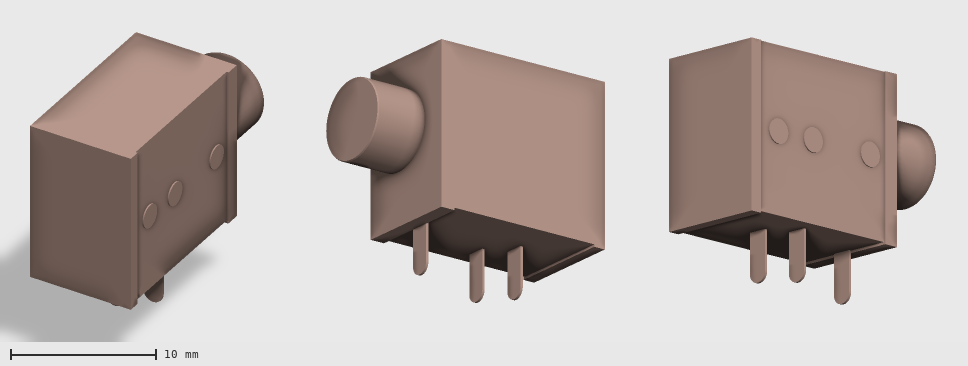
import cadquery as cq

HOUSING_WIDTH = 8.1
HOUSING_LENGTH = 14.0
HOUSING_HEIGHT = 12.3
REAR_WALL = 0.9
FRONT_WALL = 1.1
FRONT_FOOT_LENGTH = 1.13
FOOT_HEIGHT = 0.18

COVER_INNER_X = 6.8
COVER_OUTER_X = 7.94
COVER_LENGTH = HOUSING_LENGTH - FRONT_WALL - REAR_WALL
DISC_DIAMETER = 1.8
DISC_HEIGHT = 0.1
DISC_Y = [2.68, 6.01, 11.5]
DISC_Z = HOUSING_HEIGHT / 2

TOTAL_LENGTH = 18.0
BUSHING_DIAMETER = 6.0
BUSHING_LENGTH = TOTAL_LENGTH - HOUSING_LENGTH
BUSHING_X = 4.91
BUSHING_Z = 7.0
BUSHING_CHAMFER_LENGTH = 0.1
BUSHING_CHAMFER_DEPTH = 0.05

PIN_WIDTH = 1.5
PIN_THICKNESS = 0.2
PIN_DROP = 3.51
PIN_LEFT_X = 4.01
PIN_RIGHT_X = 6.01
FRONT_PIN_Y = HOUSING_LENGTH - FRONT_FOOT_LENGTH - PIN_THICKNESS / 2
PIN_PLACES = [(PIN_LEFT_X, 4.68), (PIN_RIGHT_X, 6.46), (PIN_LEFT_X, FRONT_PIN_Y)]


def box_between(low, high):
    """Box from its lowest corner to its highest corner."""
    size = [b - a for a, b in zip(low, high)]
    return cq.Workplane("XY").box(*size, centered=False).translate(low)


def make_housing():
    block = box_between((0, 0, 0), (HOUSING_WIDTH, HOUSING_LENGTH, HOUSING_HEIGHT))
    underside = box_between(
        (0, REAR_WALL, 0),
        (HOUSING_WIDTH, HOUSING_LENGTH - FRONT_FOOT_LENGTH, FOOT_HEIGHT),
    )
    cover_seat = box_between(
        (COVER_INNER_X, REAR_WALL, FOOT_HEIGHT),
        (HOUSING_WIDTH, REAR_WALL + COVER_LENGTH, HOUSING_HEIGHT),
    )
    return block.cut(underside).cut(cover_seat)


def make_cover():
    cover = box_between(
        (COVER_INNER_X, REAR_WALL, FOOT_HEIGHT),
        (COVER_OUTER_X, REAR_WALL + COVER_LENGTH, HOUSING_HEIGHT),
    )
    discs = (
        cq.Workplane("YZ", origin=(COVER_OUTER_X, 0, 0))
        .pushPoints([(y, DISC_Z) for y in DISC_Y])
        .circle(DISC_DIAMETER / 2)
        .extrude(DISC_HEIGHT)
    )
    return cover.union(discs)


def make_bushing():
    radius = BUSHING_DIAMETER / 2
    section = (
        cq.Workplane("XY")
        .polyline([
            (0, 0),
            (radius, 0),
            (radius, BUSHING_LENGTH - BUSHING_CHAMFER_LENGTH),
            (radius - BUSHING_CHAMFER_DEPTH, BUSHING_LENGTH),
            (0, BUSHING_LENGTH),
        ])
        .close()
    )
    bushing = section.revolve(360, (0, 0, 0), (0, 1, 0))
    return bushing.translate((BUSHING_X, HOUSING_LENGTH, BUSHING_Z))


def make_pin(x, y):
    half_width = PIN_WIDTH / 2
    tip_start = half_width - PIN_DROP
    return (
        cq.Workplane("XZ")
        .moveTo(-half_width, FOOT_HEIGHT)
        .lineTo(-half_width, tip_start)
        .threePointArc((0, -PIN_DROP), (half_width, tip_start))
        .lineTo(half_width, FOOT_HEIGHT)
        .close()
        .extrude(PIN_THICKNESS / 2, both=True)
        .translate((x, y, 0))
    )


housing = make_housing()
cover = make_cover()
bushing = make_bushing()
pins = [make_pin(x, y) for x, y in PIN_PLACES]

result = cq.Compound.makeCompound(
    [housing.val(), cover.val(), bushing.val(), *[pin.val() for pin in pins]]
)